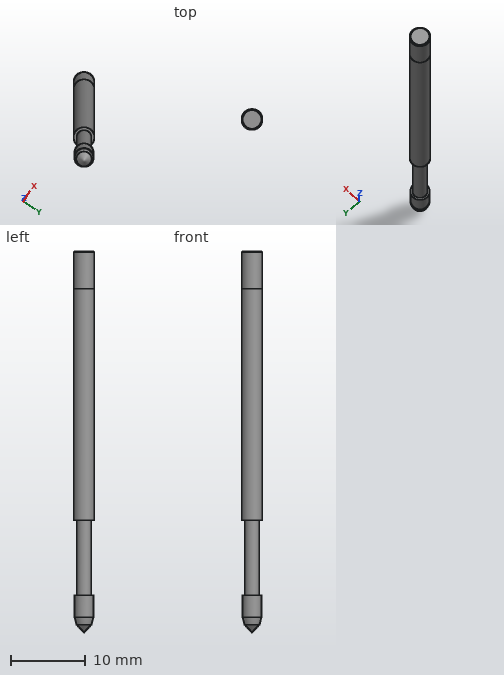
import cadquery as cq

total_length = 51.05
plug_length = 5.0
barrel_length = 31.05
rod_length = 10.0
head_length = 2.95
cone_height = 1.05

barrel_radius = 2.8 / 2
rod_radius = 2.0 / 2
head_radius = 2.6 / 2
nose_radius = 1.2
cone_radius = 1.0

plug_chamfer = 0.15

nose_bulge = 0.7

plug_bottom = total_length - plug_length
barrel_bottom = plug_bottom - barrel_length
head_top = barrel_bottom - rod_length
head_bottom = head_top - head_length

nose_mid_radius = cone_radius + nose_bulge * (nose_radius - cone_radius)
nose_mid_level = (head_bottom + cone_height) / 2


def make_end_plug():
    """Cylinder flush with the barrel, chamfered around its top face."""
    plug = cq.Workplane("XY").workplane(offset=plug_bottom).circle(barrel_radius).extrude(plug_length)
    return plug.faces(">Z").edges().chamfer(plug_chamfer)


def make_probe():
    """Barrel that narrows to a rod, then a thicker head with a rounded nose and conical tip."""
    profile = (
        cq.Workplane("XZ")
        .lineTo(cone_radius, cone_height)
        .threePointArc((nose_mid_radius, nose_mid_level), (nose_radius, head_bottom))
        .lineTo(head_radius, head_bottom)
        .lineTo(head_radius, head_top)
        .lineTo(rod_radius, head_top)
        .lineTo(rod_radius, barrel_bottom)
        .lineTo(barrel_radius, barrel_bottom)
        .lineTo(barrel_radius, plug_bottom)
        .lineTo(0, plug_bottom)
        .close()
    )
    return profile.revolve(360, (0, 0), (0, 1))


end_plug = make_end_plug()
probe = make_probe()

result = cq.Compound.makeCompound([end_plug.val(), probe.val()])